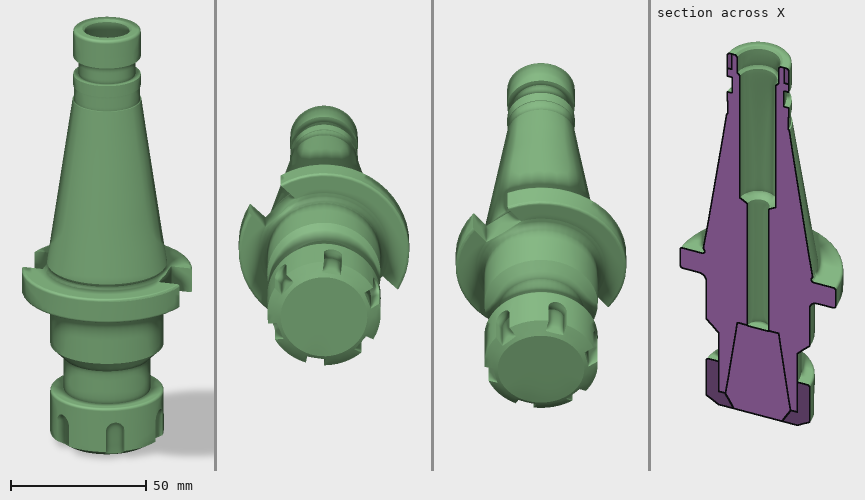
import cadquery as cq
import math

TOTAL_HEIGHT = 163.4

RING_HEIGHT = 7.0
RING_RADIUS = 12.5
RING_FILLET = 1.1
RING_BOTTOM = TOTAL_HEIGHT - RING_HEIGHT

COLLAR_RADIUS = RING_RADIUS
SPIGOT_RADIUS = 10.8
GROOVE_TOP = 152.5
GROOVE_BOTTOM = 145.5
GROOVE_RADIUS = 10.5
NECK_TOP = 141.0
NECK_RADIUS = 12.3

TAPER_TOP = 135.3
TAPER_BOTTOM = 70.3
TAPER_BOTTOM_RADIUS = 22.2
TAPER_SLOPE = 7 / 24 / 2
TAPER_TOP_RADIUS = TAPER_BOTTOM_RADIUS - TAPER_SLOPE * (TAPER_TOP - TAPER_BOTTOM)

FLANGE_TOP = 68.0
FLANGE_THICKNESS = 9.5
FLANGE_BOTTOM = FLANGE_TOP - FLANGE_THICKNESS
FLANGE_RADIUS = 31.5
FLANGE_FILLET = 1.0
DRIVE_SLOT_WIDTH = 16.2
DRIVE_SLOT_FLOOR = 22.4

UNDERCUT_RADIUS = 21.5
UNDERCUT_FILLET = 1.1

BODY_RADIUS = 21.0
BODY_FILLET = 3.0
BODY_BOTTOM = 38.0
NOSE_RADIUS = 16.0
NOSE_TOP = BODY_BOTTOM - (BODY_RADIUS - NOSE_RADIUS)
NOSE_BOTTOM = 6.0

COUNTERBORE_RADIUS = 8.3
COUNTERBORE_DEPTH = 8.2
COUNTERBORE_CHAMFER = 0.8
DRAWBAR_RADIUS = 7.2
DRAWBAR_CHAMFER = 1.0
DRAWBAR_BOTTOM = 98.0
DRILL_POINT_ANGLE = 118.0
COOLANT_RADIUS = 4.2

COLLET_TOP = 40.0
COLLET_SEAT_ANGLE = 8.0
COLLET_FRONT_ANGLE = 30.0
COLLET_MAX_RADIUS = 13.0
COLLET_SEAT_LENGTH = COLLET_TOP - NOSE_BOTTOM
COLLET_TOP_RADIUS = COLLET_MAX_RADIUS - COLLET_SEAT_LENGTH * math.tan(math.radians(COLLET_SEAT_ANGLE))
COLLET_FRONT_RADIUS = COLLET_MAX_RADIUS - NOSE_BOTTOM * math.tan(math.radians(COLLET_FRONT_ANGLE))

NUT_HEIGHT = 20.1
NUT_RADIUS = BODY_RADIUS
NUT_FILLET = 1.0
NUT_CONE_HEIGHT = 3.0
NUT_FACE_RADIUS = NOSE_RADIUS
SPANNER_SLOT_COUNT = 6
SPANNER_SLOT_WIDTH = 6.9
SPANNER_SLOT_TOP = 14.5
SPANNER_SLOT_FLOOR = 17.3
SPANNER_SLOT_START = -5.0


def revolve(outline):
    """Close an outline of (radius, z) points and turn it about the Z axis."""
    return cq.Workplane("XZ").polyline(outline).close().revolve(360, (0, 0, 0), (0, 1, 0))


def fillet_middle(radius, z, fillet, direction):
    """Midpoint of a concave fillet in the corner where a shaft meets a shoulder.

    The direction is +1 when the shaft rises from the shoulder and -1 when it hangs below it.
    """
    offset = fillet * (1 - math.sqrt(0.5))
    return (radius + offset, z + direction * offset)


def make_ring():
    ring = cq.Workplane("XY", origin=(0, 0, RING_BOTTOM)).circle(RING_RADIUS).extrude(RING_HEIGHT)
    ring = ring.faces(">Z").edges().fillet(RING_FILLET)
    return ring.faces("<Z").workplane().circle(SPIGOT_RADIUS).cutThruAll()


def make_collet():
    return revolve([
        (0, 0),
        (COLLET_FRONT_RADIUS, 0),
        (COLLET_MAX_RADIUS, NOSE_BOTTOM),
        (COLLET_TOP_RADIUS, COLLET_TOP),
        (0, COLLET_TOP),
    ])


def lower_body():
    """Collet nose and body, with a concave fillet up to the flange underside."""
    outline = (
        cq.Workplane("XZ")
        .moveTo(0, NOSE_BOTTOM)
        .lineTo(NOSE_RADIUS, NOSE_BOTTOM)
        .lineTo(NOSE_RADIUS, NOSE_TOP)
        .lineTo(BODY_RADIUS, BODY_BOTTOM)
        .lineTo(BODY_RADIUS, FLANGE_BOTTOM - BODY_FILLET)
        .threePointArc(
            fillet_middle(BODY_RADIUS, FLANGE_BOTTOM, BODY_FILLET, -1),
            (BODY_RADIUS + BODY_FILLET, FLANGE_BOTTOM),
        )
        .lineTo(0, FLANGE_BOTTOM)
        .close()
    )
    return outline.revolve(360, (0, 0, 0), (0, 1, 0))


def flange():
    disc = cq.Workplane("XY", origin=(0, 0, FLANGE_BOTTOM)).circle(FLANGE_RADIUS).extrude(FLANGE_THICKNESS)
    return disc.edges("%CIRCLE").fillet(FLANGE_FILLET)


def shank():
    """Undercut, taper and the stepped end that carries the ring."""
    outline = (
        cq.Workplane("XZ")
        .moveTo(0, FLANGE_TOP)
        .lineTo(UNDERCUT_RADIUS + UNDERCUT_FILLET, FLANGE_TOP)
        .threePointArc(
            fillet_middle(UNDERCUT_RADIUS, FLANGE_TOP, UNDERCUT_FILLET, 1),
            (UNDERCUT_RADIUS, FLANGE_TOP + UNDERCUT_FILLET),
        )
        .lineTo(TAPER_BOTTOM_RADIUS, TAPER_BOTTOM)
        .lineTo(TAPER_TOP_RADIUS, TAPER_TOP)
        .lineTo(NECK_RADIUS, TAPER_TOP)
        .lineTo(NECK_RADIUS, NECK_TOP)
        .lineTo(COLLAR_RADIUS, NECK_TOP)
        .lineTo(COLLAR_RADIUS, GROOVE_BOTTOM)
        .lineTo(GROOVE_RADIUS, GROOVE_BOTTOM)
        .lineTo(GROOVE_RADIUS, GROOVE_TOP)
        .lineTo(COLLAR_RADIUS, GROOVE_TOP)
        .lineTo(COLLAR_RADIUS, RING_BOTTOM)
        .lineTo(SPIGOT_RADIUS, RING_BOTTOM)
        .lineTo(SPIGOT_RADIUS, TOTAL_HEIGHT)
        .lineTo(0, TOTAL_HEIGHT)
        .close()
    )
    return outline.revolve(360, (0, 0, 0), (0, 1, 0))


def drawbar_bore():
    """Counterbore, drawbar hole with a drill point, and a coolant hole down to the collet."""
    counterbore_floor = TOTAL_HEIGHT - COUNTERBORE_DEPTH
    point_depth = (DRAWBAR_RADIUS - COOLANT_RADIUS) / math.tan(math.radians(DRILL_POINT_ANGLE / 2))
    return revolve([
        (0, NOSE_BOTTOM),
        (COOLANT_RADIUS, NOSE_BOTTOM),
        (COOLANT_RADIUS, DRAWBAR_BOTTOM - point_depth),
        (DRAWBAR_RADIUS, DRAWBAR_BOTTOM),
        (DRAWBAR_RADIUS, counterbore_floor - DRAWBAR_CHAMFER),
        (DRAWBAR_RADIUS + DRAWBAR_CHAMFER, counterbore_floor),
        (COUNTERBORE_RADIUS, counterbore_floor),
        (COUNTERBORE_RADIUS, TOTAL_HEIGHT - COUNTERBORE_CHAMFER),
        (COUNTERBORE_RADIUS + COUNTERBORE_CHAMFER, TOTAL_HEIGHT),
        (0, TOTAL_HEIGHT),
    ])


def drive_slots():
    slot_depth = FLANGE_RADIUS - DRIVE_SLOT_FLOOR
    slot_centre = DRIVE_SLOT_FLOOR + slot_depth / 2
    return (
        cq.Workplane("XY", origin=(0, 0, FLANGE_BOTTOM - BODY_FILLET))
        .pushPoints([(-slot_centre, 0), (slot_centre, 0)])
        .rect(slot_depth, DRIVE_SLOT_WIDTH)
        .extrude(FLANGE_THICKNESS + BODY_FILLET)
    )


def make_holder():
    blank = lower_body().union(flange()).union(shank())
    return blank.cut(drive_slots()).cut(drawbar_bore()).cut(make_collet())


def spanner_slot(angle):
    """Radial slot open at the nut face, with a half-round upper end."""
    half_width = SPANNER_SLOT_WIDTH / 2
    arch_start = SPANNER_SLOT_TOP - half_width
    return (
        cq.Workplane("YZ", origin=(SPANNER_SLOT_FLOOR, 0, 0))
        .moveTo(-half_width, 0)
        .lineTo(half_width, 0)
        .lineTo(half_width, arch_start)
        .threePointArc((0, SPANNER_SLOT_TOP), (-half_width, arch_start))
        .close()
        .extrude(NUT_RADIUS - SPANNER_SLOT_FLOOR)
        .rotate((0, 0, 0), (0, 0, 1), angle)
    )


def nut_blank():
    """Round nut with a conical lower face and a rounded upper rim."""
    solid = revolve([
        (0, 0),
        (NUT_FACE_RADIUS, 0),
        (NUT_RADIUS, NUT_CONE_HEIGHT),
        (NUT_RADIUS, NUT_HEIGHT),
        (0, NUT_HEIGHT),
    ])
    return solid.faces(">Z").edges().fillet(NUT_FILLET)


def nut_bore():
    """Bore around the nose, narrowing to a mouth that fits the front of the collet."""
    return revolve([
        (0, 0),
        (COLLET_FRONT_RADIUS, 0),
        (COLLET_MAX_RADIUS, NOSE_BOTTOM),
        (NOSE_RADIUS, NOSE_BOTTOM),
        (NOSE_RADIUS, NUT_HEIGHT),
        (0, NUT_HEIGHT),
    ])


def make_nut():
    nut = nut_blank().cut(nut_bore())
    for index in range(SPANNER_SLOT_COUNT):
        nut = nut.cut(spanner_slot(SPANNER_SLOT_START + index * 360 / SPANNER_SLOT_COUNT))
    return nut


holder = make_holder()
ring = make_ring()
nut = make_nut()
collet = make_collet()

result = cq.Compound.makeCompound([holder.val(), ring.val(), nut.val(), collet.val()])